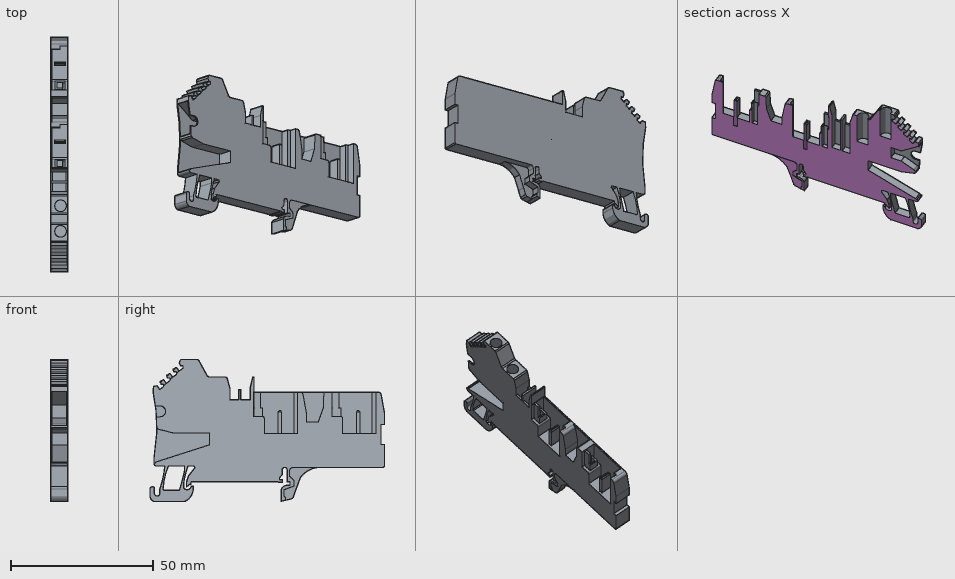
import cadquery as cq


thickness = 6.1
length = 82.5
side_wall = 0.5
body_bottom = 12.0
front_bottom = 12.5
rail_face = 6.95
deck = 38.55
end_slope_base = 31.25
end_slope_run = 1.15
end_slope_drop = 0.98
end_crown_run = 2.32
corner_bevel = 0.4
hinge_shelf = 43.85
tower_top = 50.0

station_count = 2
station_pitch = 27.5
station_rear = 79.4
station_front = 64.0
pocket_floor = 24.0
key_depth = 1.3
key_width = 3.4
key_bevel = 0.3

recess_rear = 61.65
recess_floor = 28.0

blade_width = 3.9
blade_thickness = 1.2
blade_x = 3.3
blade_from_front = 9.2
blade_top = 32.0
blade_root = 20.0
blade_bevel = 0.4

ledge_length = 3.7
ledge_top = 30.0
ledge_round = 0.7
socket_width = 3.4
socket_length = 3.0
socket_bore = 2.0
socket_top = 33.0
socket_gap = 0.1
guide_wall = 0.8
guide_length = 2.3

jumper_rear = 35.2
jumper_front = 28.2
jumper_shoulder = 35.85
jumper_side = 0.75
jumper_floor = 25.0
fin_rear = 31.95
fin_front = 31.2
fin_top = 39.35

screw_x = 3.5
screw_diameter = 4.1
screw_depth = 12.0
rear_screw_y = 23.25
front_screw_y = 14.25

gap_count = 4
gap_step = (-2.27, -2.16)
first_gap = [
    (10.3, 48.7), (10.75, 47.75), (11.55, 47.75), (11.55, 46.9), (10.25, 45.95), (9.85, 46.6), (9.3, 47.25),
]
tooth_side_relief = 0.25

entry_side = 0.5
upper_entry_top = 38.8
upper_entry_throat_top = 34.0
upper_entry_throat_bottom = 29.5
upper_entry_bottom = 26.8
lower_entry_top = 26.0
lower_entry_throat_top = 24.2
lower_entry_back_floor = 20.0
lower_entry_front_floor = 14.0
lower_entry_bottom = 13.6
lower_entry_end = 21.0
entry_funnel = 8.0
entry_end = 12.0
notch_radius = 1.9
notch_center_z = 31.75
notch_y = 3.6

web_start_x = 2.9
lip_back = [
    (47.6, 0.45), (47.6, 1.4), (47.15, 2.0), (47.15, 4.2), (50.65, 5.5), (50.65, 7.45),
    (49.1, 8.9), (49.1, 10.8),
]
lip_blend = [(49.45, 11.65), (50.3, body_bottom)]


def prism(profile, start, end):
    """Extrude a closed Y-Z sketch along X between two X positions."""
    return profile.close().extrude(end - start).translate((start, 0, 0))


def plate(points, start, end):
    """Extrude a polygon of Y-Z points along X between two X positions."""
    return prism(cq.Workplane("YZ").polyline(points), start, end)


def box(x_range, y_range, z_range):
    """Axis-aligned box given by its limits."""
    size = [high - low for low, high in (x_range, y_range, z_range)]
    corner = (x_range[0], y_range[0], z_range[0])
    return cq.Workplane("XY").box(*size, centered=False).translate(corner)


def gap_points(index):
    """Undercut gap between two grip teeth, from its upper mouth to the crown of the next tooth."""
    return [(y + index * gap_step[0], z + index * gap_step[1]) for y, z in first_gap]


def tooth_relief():
    """Band along the teeth, from gap floor to crown, removed next to the +X side."""
    upper = gap_points(0)
    lower = gap_points(gap_count - 1)
    band = [upper[4], lower[4], lower[6], upper[6]]
    return plate(band, thickness - tooth_side_relief, thickness)


def outer_profile():
    """Full-width outline of the housing with its sprung rail foot and latch lip."""
    outline = cq.Workplane("YZ").moveTo(length, body_bottom + corner_bevel)
    for point in [
        (length, 20.15), (81.25, 20.15), (81.25, 27.1), (length, 27.1), (length, end_slope_base),
    ]:
        outline = outline.lineTo(*point)
    outline = outline.lineTo(length - end_slope_run, deck - end_slope_drop)
    outline = outline.tangentArcPoint((length - end_crown_run, deck), relative=False)
    for point in [
        (36.65, deck), (36.65, hinge_shelf), (36.15, hinge_shelf), (jumper_rear, 40.0),
        (jumper_rear, jumper_shoulder), (fin_rear, jumper_shoulder), (fin_rear, fin_top),
        (fin_front, fin_top), (fin_front, jumper_shoulder), (jumper_front, jumper_shoulder),
        (jumper_front, 39.7), (27.2, 43.4), (26.7, hinge_shelf), (20.75, hinge_shelf), (20.2, 44.2),
        (17.2, 49.7), (16.7, tower_top), (10.9, tower_top), (10.55, 49.6),
    ]:
        outline = outline.lineTo(*point)
    for index in range(gap_count):
        for point in gap_points(index):
            outline = outline.lineTo(*point)
    for point in [(1.2, 40.55), (1.1, 38.45), (2.1, 32.0), (2.4, 24.5), (1.35, 15.0), (1.35, 13.5)]:
        outline = outline.lineTo(*point)
    outline = outline.threePointArc((1.64, 12.79), (2.35, front_bottom)).lineTo(5.17, front_bottom)
    outline = (
        outline.threePointArc((4.6, 8.5), (3.4, 4.3)).lineTo(3.4, 2.9).threePointArc((2.5, 2.0), (1.6, 2.9))
        .lineTo(1.6, 4.75).threePointArc((1.45, 5.1), (1.1, 5.25)).lineTo(0.8, 5.25)
        .threePointArc((0.23, 5.02), (0, 4.45)).lineTo(0, 1.7)
        .threePointArc((0.6, 0.6), (1.5, 0)).lineTo(12.2, 0).threePointArc((14.5, 2.0), (15.25, 4.1))
        .lineTo(15.25, 5.5).lineTo(14.4, 5.5).lineTo(14.4, 5.1).threePointArc((13.2, 4.25), (11.9, 4.8))
        .lineTo(12.0, 7.2).threePointArc((12.5, 9.6), (13.4, front_bottom))
    )
    for point in [
        (15.5, front_bottom), (15.75, 11.9), (13.5, 9.0), (12.8, 6.9), (12.8, 5.1),
        (13.95, 6.05), (14.4, 6.05), (14.5, rail_face), (44.95, rail_face), (45.2, 6.75), (46.65, 6.75),
        (46.65, 7.75), (45.6, 7.8), (45.6, 8.4), (46.55, 9.55), (46.55, 11.2),
    ]:
        outline = outline.lineTo(*point)
    outline = outline.threePointArc((47.4, 12.0), (48.2, 11.2))
    for point in [(48.2, 7.0), (49.2, 7.0), (49.2, 5.8), (48.1, 5.8)]:
        outline = outline.lineTo(*point)
    outline = outline.threePointArc((46.9, 5.3), (46.15, 4.3)).lineTo(46.15, 0.1)
    for point in lip_back:
        outline = outline.lineTo(*point)
    outline = outline.threePointArc(*lip_blend)
    return outline.lineTo(length - corner_bevel, body_bottom)


def foot_window():
    """Opening between the two struts of the sprung foot."""
    window = (
        cq.Workplane("YZ").moveTo(12.1, front_bottom).lineTo(6.5, front_bottom)
        .threePointArc((5.3, 8.8), (4.65, 4.4)).lineTo(5.0, 4.05).lineTo(10.35, 4.05)
        .threePointArc((11.5, 8.2), (12.1, 10.7))
    )
    return prism(window, 0, thickness)


def station_offset(index):
    """Shift along Y from the first station."""
    return -index * station_pitch


def station_rear_face(index):
    """Y of the outer rear face behind a station; it has the same lean and crown at each station."""
    return length + station_offset(index)


def plug_pocket():
    """Pocket for one plug, open on top and on the +X side, with a key on its rear wall."""
    pocket = box((side_wall, thickness), (station_front, station_rear), (pocket_floor, deck))
    key_front = station_rear - key_depth
    key = box((side_wall, key_width), (key_front, station_rear), (pocket_floor, deck))
    key = key.faces("<Y").edges(">Z").chamfer(key_bevel)
    return pocket.cut(key)


def guide_socket():
    """Ledge at the pocket front with a square tube and one tall guide wall."""
    ledge_rear = station_front + ledge_length
    ledge = box((side_wall, thickness), (station_front, ledge_rear), (pocket_floor, ledge_top))
    ledge = ledge.edges(">Y and >Z").fillet(ledge_round)
    front = station_front + socket_gap
    center_y = front + socket_length / 2
    left = blade_x - socket_width / 2
    right = blade_x + socket_width / 2
    tube = box((left, right), (front, front + socket_length), (pocket_floor, socket_top))
    wall = box((right - guide_wall, right), (front, front + guide_length), (pocket_floor, deck))
    half_bore = socket_bore / 2
    bore = box(
        (blade_x - half_bore, blade_x + half_bore),
        (center_y - half_bore, center_y + half_bore),
        (pocket_floor, socket_top),
    )
    return ledge.union(tube).union(wall).cut(bore)


def deck_recess():
    """Open recess between the two plug stations, with a steep front and rear flank."""
    wall = station_rear_face(1)
    recess = (
        cq.Workplane("YZ").moveTo(recess_rear, deck).lineTo(recess_rear - 0.5, deck - 0.5)
        .lineTo(recess_rear - 0.7, 33.0).lineTo(59.2, recess_floor).lineTo(wall, recess_floor)
        .lineTo(wall, end_slope_base).lineTo(wall - end_slope_run, deck - end_slope_drop)
        .tangentArcPoint((wall - end_crown_run, deck), relative=False)
    )
    return prism(recess, side_wall, thickness)


def contact_blade():
    """Flat contact blade of one station, its root set in the pocket floor."""
    center_y = station_front + blade_from_front
    blade = box(
        (blade_x - blade_width / 2, blade_x + blade_width / 2),
        (center_y - blade_thickness / 2, center_y + blade_thickness / 2),
        (blade_root, blade_top),
    )
    return blade.faces(">Z").edges().chamfer(blade_bevel)


def jumper_slots():
    """Deep slots on both sides of the fin."""
    slots = cq.Workplane("YZ")
    x_range = (jumper_side, thickness - jumper_side)
    for y_range in [(fin_rear, jumper_rear), (jumper_front, fin_front)]:
        slots = slots.add(box(x_range, y_range, (jumper_floor, jumper_shoulder)))
    return slots.combine()


def screw_hole(y, top):
    """Blind screw access hole from the top of a tower."""
    return (
        cq.Workplane("XY", origin=(screw_x, y, top - screw_depth))
        .circle(screw_diameter / 2).extrude(screw_depth)
    )


def upper_wire_entry():
    """Funnel between both side walls, with a sloping roof."""
    points = [
        (0, upper_entry_top), (1.4, upper_entry_top), (entry_funnel, upper_entry_throat_top),
        (entry_end, upper_entry_throat_top), (entry_end, upper_entry_throat_bottom),
        (entry_funnel, upper_entry_throat_bottom), (3.0, upper_entry_bottom + 0.5),
        (2.3, upper_entry_bottom), (0, upper_entry_bottom),
    ]
    return plate(points, entry_side, thickness - entry_side)


def side_notch():
    """Round-ended notch in the +X wall of the upper entry."""
    low = notch_center_z - notch_radius
    high = notch_center_z + notch_radius
    notch = (
        cq.Workplane("YZ").moveTo(0, low).lineTo(notch_y, low)
        .threePointArc((notch_y + notch_radius, notch_center_z), (notch_y, high)).lineTo(0, high)
    )
    return prism(notch, thickness - entry_side, thickness)


def lower_wire_entry():
    """Lower entry with a rising floor, open towards +X."""
    points = [
        (0, lower_entry_top), (2.4, lower_entry_top), (2.9, lower_entry_top - 0.5),
        (entry_funnel, lower_entry_throat_top), (lower_entry_end, lower_entry_throat_top),
        (lower_entry_end, lower_entry_back_floor), (2.3, lower_entry_front_floor),
        (1.9, lower_entry_bottom), (0, lower_entry_bottom),
    ]
    return plate(points, entry_side, thickness)


housing = prism(outer_profile(), 0, thickness).cut(foot_window()).cut(deck_recess())
for station in range(station_count):
    offset = (0, station_offset(station), 0)
    housing = housing.cut(plug_pocket().translate(offset))
    housing = housing.union(guide_socket().translate(offset))
    housing = housing.cut(contact_blade().translate(offset))
housing = housing.cut(jumper_slots())
housing = housing.cut(screw_hole(rear_screw_y, hinge_shelf)).cut(screw_hole(front_screw_y, tower_top))
housing = housing.cut(upper_wire_entry()).cut(side_notch()).cut(lower_wire_entry())
housing = housing.cut(tooth_relief())

blades = [contact_blade().translate((0, station_offset(station), 0)) for station in range(station_count)]

web_outline = cq.Workplane("YZ").moveTo(*lip_back[0])
for lip_point in lip_back[1:]:
    web_outline = web_outline.lineTo(*lip_point)
web_outline = (
    web_outline.threePointArc(*lip_blend).lineTo(59.3, body_bottom)
    .threePointArc((55.4, 10.75), (52.95, 8.5)).lineTo(51.25, 3.95).lineTo(50.4, 1.5).lineTo(49.8, 0.95)
)
latch_web = prism(web_outline, web_start_x, thickness)

result = cq.Compound.makeCompound([housing.val(), *[blade.val() for blade in blades], latch_web.val()])